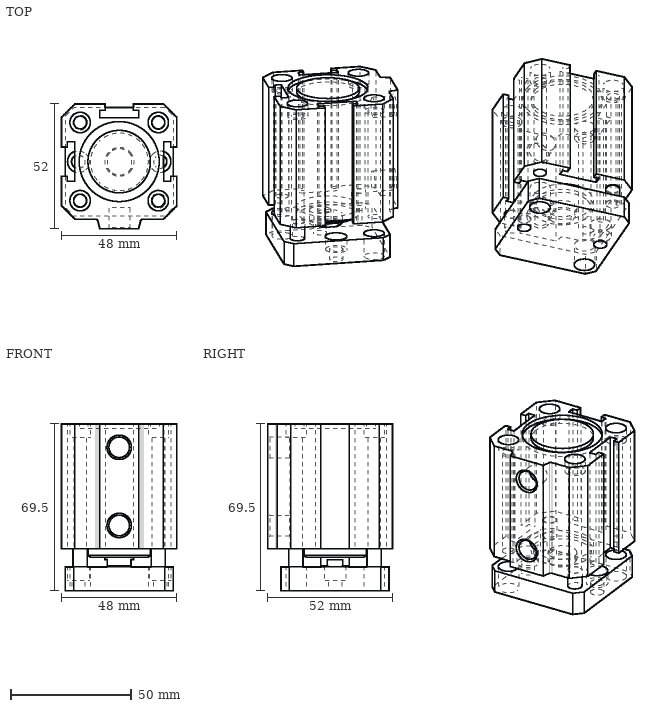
import cadquery as cq
import math

plate_thickness = 10.0
rod_gap = 7.5
housing_height = 52.0
housing_bottom = plate_thickness + rod_gap
housing_top = housing_bottom + housing_height

housing_width = 48.0
housing_chamfer = 5.6
rib_height = 4.0
rib_tip_width = 16.2
rib_flank_angle = 14.0
rib_root_fillet = 0.8
half_housing = housing_width / 2
rib_tip_half = rib_tip_width / 2
rib_root_half = rib_tip_half + rib_height * math.tan(math.radians(rib_flank_angle))

side_slot = {"mouth": 12.0, "width": 16.4, "lip": 2.5, "depth": 5.5}
back_slot = {"mouth": 11.7, "width": 16.2, "lip": 2.75, "depth": 5.75}

corner_spacing = 32.5
half_spacing = corner_spacing / 2
all_corners = [(sx * half_spacing, sy * half_spacing) for sx in (-1, 1) for sy in (-1, 1)]
rod_corners = [(x, y) for x, y in all_corners if x * y < 0]
access_corners = [(x, y) for x, y in all_corners if x * y > 0]
corner_hole_diameter = 5.3
corner_bore_diameter = 8.5
corner_bore_depth = 5.5

cap_recess_diameter = 33.3
cap_recess_depth = 1.75
cap_diameter = 26.0
collar_diameter = 26.0
collar_height = 3.5
collar_chamfer_height = 0.8
collar_chamfer_width = 1.0

port_spacing = 32.5
port_diameter = 8.57
port_chamfer = 0.8
port_depth = 9.0

plate_width = 45.0
plate_chamfer = 3.5
plate_hole_spacing = 34.0
plate_hole_diameter = 5.5
plate_bore_diameter = 9.0
plate_bore_depth = 5.5
guide_rod_diameter = 6.0
piston_rod_diameter = 12.0
piston_rod_chamfer = 0.5
flats_width = 10.0
collar_to_flats = 1.0
piston_rod_length = rod_gap - collar_height


def chamfered_block(width, chamfer, height, bottom):
    """Square block on the Z axis with its four upright edges chamfered."""
    block = cq.Workplane("XY").workplane(offset=bottom).rect(width, width).extrude(height)
    return block.edges("|Z").chamfer(chamfer)


def port_rib():
    """Trapezoid rib on the -Y face, rooted in the block."""
    face_y = -half_housing
    tip_y = face_y - rib_height
    return (
        cq.Workplane("XY").workplane(offset=housing_bottom)
        .moveTo(-rib_tip_half, tip_y)
        .lineTo(rib_tip_half, tip_y)
        .lineTo(rib_root_half, face_y)
        .lineTo(-rib_root_half, face_y)
        .close()
        .extrude(housing_height)
    )


def t_slot(slot, turn):
    """Full height T slot cutter opening on +Y, turned about Z by the given degrees."""
    sill_y = half_housing - slot["lip"]
    floor_y = half_housing - slot["depth"]
    half_mouth = slot["mouth"] / 2
    half_slot = slot["width"] / 2
    cutter = (
        cq.Workplane("XY").workplane(offset=housing_bottom)
        .moveTo(-half_mouth, half_housing)
        .lineTo(-half_mouth, sill_y)
        .lineTo(-half_slot, sill_y)
        .lineTo(-half_slot, floor_y)
        .lineTo(half_slot, floor_y)
        .lineTo(half_slot, sill_y)
        .lineTo(half_mouth, sill_y)
        .lineTo(half_mouth, half_housing)
        .close()
        .extrude(housing_height)
    )
    return cutter.rotate((0, 0, 0), (0, 0, 1), turn)


def port_cutter(z):
    """Blind round port from the rib face toward +Y, with a chamfered mouth."""
    mouth_radius = port_diameter / 2 + port_chamfer
    port_radius = port_diameter / 2
    profile = (
        cq.Workplane("XY")
        .moveTo(0, 0)
        .lineTo(mouth_radius, 0)
        .lineTo(port_radius, port_chamfer)
        .lineTo(port_radius, port_depth)
        .lineTo(0, port_depth)
        .close()
    )
    return profile.revolve(360, (0, 0), (0, 1)).translate((0, -half_housing - rib_height, z))


def front_collar():
    """Round collar under the housing, its lower edge beveled."""
    collar = cq.Workplane("XY").workplane(offset=housing_bottom).circle(collar_diameter / 2)
    return collar.extrude(-collar_height).faces("<Z").chamfer(collar_chamfer_height, collar_chamfer_width)


def build_housing():
    body = chamfered_block(housing_width, housing_chamfer, housing_height, housing_bottom)
    body = body.union(port_rib())
    root_line = cq.selectors.BoxSelector(
        (-rib_root_half - rib_root_fillet, -half_housing - rib_root_fillet / 2, housing_bottom),
        (rib_root_half + rib_root_fillet, -half_housing + rib_root_fillet / 2, housing_top),
    )
    body = body.edges("|Z").edges(root_line).fillet(rib_root_fillet)

    body = body.cut(t_slot(back_slot, 0))
    for turn in (90, -90):
        body = body.cut(t_slot(side_slot, turn))

    top_plane = body.faces(">Z").workplane(origin=(0, 0, housing_top))
    body = top_plane.pushPoints(all_corners).cboreHole(
        corner_hole_diameter, corner_bore_diameter, corner_bore_depth
    )

    cap_recess = (
        cq.Workplane("XY").workplane(offset=housing_top)
        .circle(cap_recess_diameter / 2)
        .circle(cap_diameter / 2)
        .extrude(-cap_recess_depth)
    )
    body = body.cut(cap_recess)

    housing_middle = housing_bottom + housing_height / 2
    for side in (-1, 1):
        body = body.cut(port_cutter(housing_middle + side * port_spacing / 2))
    return body.union(front_collar())


def piston_rod():
    """Rod from the plate up to the collar, with a neck bevel and two wrench flats."""
    rod = (
        cq.Workplane("XY").workplane(offset=plate_thickness)
        .circle(piston_rod_diameter / 2)
        .extrude(piston_rod_length)
        .faces("<Z").chamfer(piston_rod_chamfer)
    )
    flats_height = piston_rod_length - collar_to_flats
    flats_cut = (
        cq.Workplane("XY").workplane(offset=plate_thickness)
        .rect(2 * piston_rod_diameter, 2 * piston_rod_diameter)
        .rect(flats_width, 2 * piston_rod_diameter)
        .extrude(flats_height)
    )
    return rod.cut(flats_cut)


def build_moving_plate():
    body = chamfered_block(plate_width, plate_chamfer, plate_thickness, 0)
    top_plane = body.faces(">Z").workplane(origin=(0, 0, plate_thickness))
    body = top_plane.pushPoints(access_corners).hole(corner_bore_diameter)

    top_plane = body.faces(">Z").workplane(origin=(0, 0, plate_thickness))
    side_holes = [(-plate_hole_spacing / 2, 0), (plate_hole_spacing / 2, 0)]
    body = top_plane.pushPoints(side_holes).cboreHole(
        plate_hole_diameter, plate_bore_diameter, plate_bore_depth
    )

    guide_rods = (
        cq.Workplane("XY").workplane(offset=plate_thickness)
        .pushPoints(rod_corners)
        .circle(guide_rod_diameter / 2)
        .extrude(rod_gap)
    )
    return body.union(guide_rods).union(piston_rod())


housing = build_housing()
moving_plate = build_moving_plate()
result = cq.Compound.makeCompound([housing.val(), moving_plate.val()])